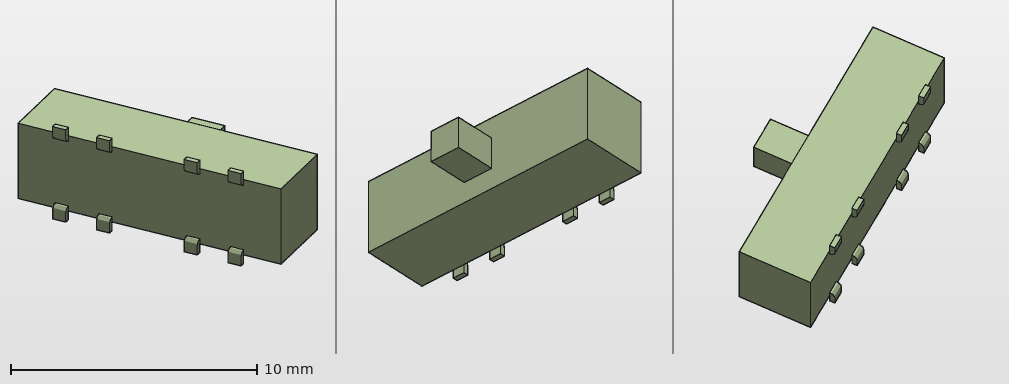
import cadquery as cq
import math

body_length = 12.0
body_depth = 3.25
body_height = 3.5

actuator_size = 1.5
actuator_length = 2.0

terminal_width = 0.6
terminal_thickness = 0.24
terminal_overhang = 0.4
terminal_pitch = body_length / 6
terminal_slots = (-2, -1, 1, 2)

front_y = -body_depth / 2
edge_z = body_height / 2


def make_actuator():
    """Square bar standing on the middle of the rear face."""
    return cq.Workplane("XY").box(actuator_size, actuator_length, actuator_size).translate(
        (0, (body_depth + actuator_length) / 2, 0)
    )


def make_terminal(center_x, side):
    """Terminal on the upper (side = 1) or lower (side = -1) front edge, rounded inward."""
    outer_y = front_y - terminal_thickness
    tip_z = side * (edge_z + terminal_overhang)
    bend_z = side * edge_z
    diagonal = terminal_thickness * math.sqrt(0.5)
    return (
        cq.Workplane("YZ", origin=(center_x, 0, 0))
        .moveTo(front_y, tip_z)
        .lineTo(outer_y, tip_z)
        .lineTo(outer_y, bend_z)
        .threePointArc(
            (front_y - diagonal, bend_z - side * diagonal),
            (front_y, bend_z - side * terminal_thickness),
        )
        .close()
        .extrude(terminal_width / 2, both=True)
    )


result = cq.Workplane("XY").box(body_length, body_depth, body_height)
result = result.union(make_actuator())
for slot in terminal_slots:
    for side in (1, -1):
        result = result.union(make_terminal(slot * terminal_pitch, side))